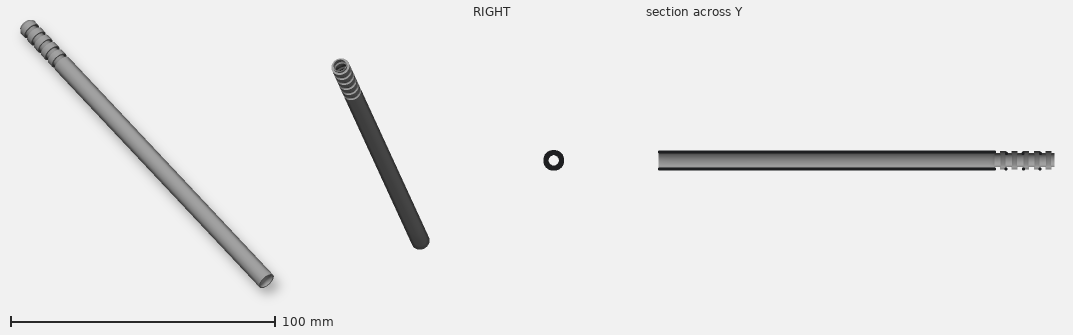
import cadquery as cq

length = 150.0
outer_diameter = 7.0
body_bore_diameter = 5.87

nose_length = 1.1
collar_count = 5
outer_groove_diameter = 5.35
outer_groove_width = 1.87
inner_groove_diameter = 6.37
inner_groove_width = outer_groove_width
throat_diameter = 4.8

web_thickness = (outer_groove_diameter - throat_diameter) / 2
collar_width = inner_groove_width + 2 * web_thickness
corrugation_pitch = collar_width + outer_groove_width
body_start = nose_length + collar_count * corrugation_pitch
body_bore_start = body_start + web_thickness


def cylinder(diameter, start, width):
    """Solid cylinder on the X axis, from start to start + width."""
    plane = cq.Plane(origin=(start, 0, 0), xDir=(0, 0, -1), normal=(1, 0, 0))
    return cq.Workplane(plane).circle(diameter / 2).extrude(width)


def outer_groove(start, width):
    """Ring of material to remove from the outside of the tube."""
    return cylinder(outer_diameter, start, width).cut(cylinder(outer_groove_diameter, start, width))


def bored_tube():
    """Plain tube with a narrow throat at the corrugated end and a wider bore in the body."""
    tube = cylinder(outer_diameter, 0, length)
    tube = tube.cut(cylinder(throat_diameter, 0, length))
    return tube.cut(cylinder(body_bore_diameter, body_bore_start, length - body_bore_start))


def cut_corrugations(tube):
    """Cut the nose, then an inner and an outer groove for every collar."""
    tube = tube.cut(outer_groove(0, nose_length))
    for index in range(collar_count):
        collar_start = nose_length + index * corrugation_pitch
        inner_start = collar_start + web_thickness
        tube = tube.cut(cylinder(inner_groove_diameter, inner_start, inner_groove_width))
        tube = tube.cut(outer_groove(collar_start + collar_width, outer_groove_width))
    return tube


result = cut_corrugations(bored_tube())